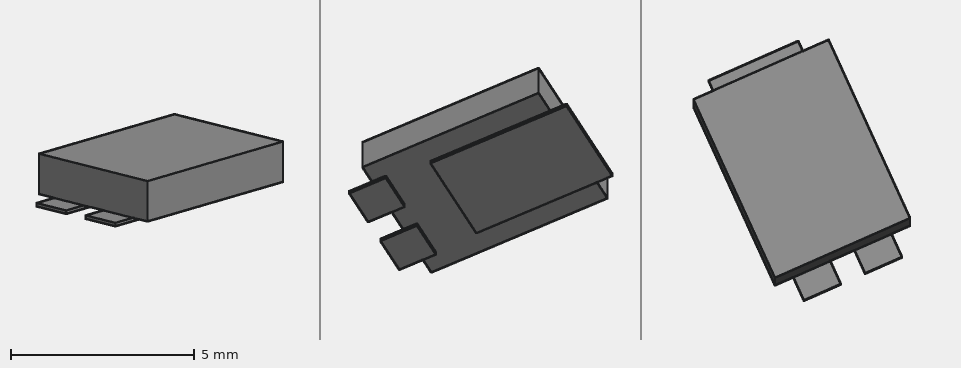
import cadquery as cq

total_length = 6.64
total_height = 1.25

plate_thickness = 0.1
tab_width = 2.69
tab_length = 4.195
tab_overhang = 0.505
lead_width = 1.11
lead_length = 1.13
lead_overhang = 0.7
lead_outer_span = 2.94

housing_width = 4.05
housing_length = total_length - tab_overhang - lead_overhang
housing_height = total_height - plate_thickness

tab_back = housing_length / 2 + tab_overhang
lead_front = -housing_length / 2 - lead_overhang
lead_offset = (lead_outer_span - lead_width) / 2


def make_block(width, length, height, center_x, center_y, bottom_z):
    """Rectangular block centred in X and Y, standing on bottom_z."""
    block = cq.Workplane("XY").box(width, length, height, centered=(True, True, False))
    return block.translate((center_x, center_y, bottom_z))


def make_housing():
    return make_block(housing_width, housing_length, housing_height, 0, 0, plate_thickness)


def make_tab():
    """Wide plate under the housing, projecting at +Y."""
    return make_block(tab_width, tab_length, plate_thickness, 0, tab_back - tab_length / 2, 0)


def make_lead(center_x):
    """Small plate partly under the housing, projecting at -Y."""
    return make_block(lead_width, lead_length, plate_thickness, center_x, lead_front + lead_length / 2, 0)


housing = make_housing()
tab = make_tab()
leads = [make_lead(side * lead_offset) for side in (-1, 1)]

result = cq.Compound.makeCompound([housing.val(), tab.val(), *[lead.val() for lead in leads]])